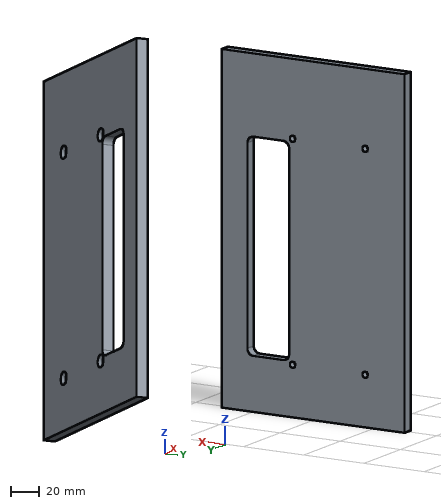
import cadquery as cq

plate_width = 152.0
plate_thickness = 9.0
plate_height = 262.0

pattern_center_z = -10.0

window_width = 34.5
window_height = 160.0
window_center_x = 37.2
window_corner_radius = 5.0

hole_spacing_x = 60.3
hole_spacing_z = 165.0
hole_center_x = -13.0
hole_diameter = 4.5
countersink_diameter = 9.5
countersink_angle = 90.0


def make_plate():
    return cq.Workplane("XY").box(plate_width, plate_thickness, plate_height)


def make_window():
    return (
        cq.Workplane("XY")
        .box(window_width, plate_thickness, window_height)
        .edges("|Y")
        .fillet(window_corner_radius)
        .translate((window_center_x, 0, pattern_center_z))
    )


def drill_screw_holes(plate):
    front_face = cq.Workplane("XZ", origin=(0, -plate_thickness / 2, 0)).add(plate)
    return (
        front_face
        .center(hole_center_x, pattern_center_z)
        .rarray(hole_spacing_x, hole_spacing_z, 2, 2)
        .cskHole(hole_diameter, countersink_diameter, countersink_angle)
    )


result = drill_screw_holes(make_plate()).cut(make_window())